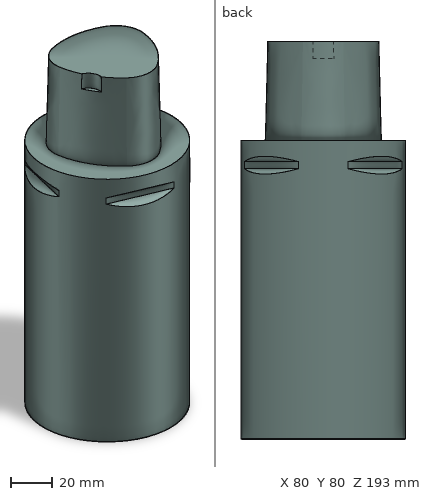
import cadquery as cq
import math

BODY_DIAMETER = 80.0
BODY_LENGTH = 145.0
BOTTOM_CHAMFER = 0.5

SHANK_LENGTH = 48.0
SHANK_LOBE_REACH = 29.9
SHANK_FLANK_REACH = 25.6
SHANK_LOBE_RADIUS = 17.0
SHANK_TAPER_RATIO = 20.0
SHANK_TAPER_ANGLE = math.degrees(math.atan(1 / (2 * SHANK_TAPER_RATIO)))
LOBE_COUNT = 3
FIRST_LOBE_ANGLE = 90.0

KEYWAY_RADIUS = 7.0
KEYWAY_DEPTH = 8.2
KEYWAY_FLOOR_REACH = 22.1

GROOVE_COUNT = 4
GROOVE_FIRST_ANGLE = 45.0
GROOVE_BELOW_SHOULDER = 12.0
GROOVE_FLOOR_REACH = 35.5
GROOVE_FLOOR_WIDTH = 3.4
GROOVE_FLANK_ANGLE = 30.0

CUT_OVERLAP = 2.0

BODY_RADIUS = BODY_DIAMETER / 2
TOTAL_LENGTH = BODY_LENGTH + SHANK_LENGTH


def polar(radius, degrees):
    angle = math.radians(degrees)
    return radius * math.cos(angle), radius * math.sin(angle)


def lobe_half_angle():
    """Half the sweep of a lobe arc that runs tangent into the flank arcs."""
    half_pitch = math.radians(180 / LOBE_COUNT)
    lobe_offset = SHANK_LOBE_REACH - SHANK_LOBE_RADIUS
    along = lobe_offset * math.cos(half_pitch)
    across = lobe_offset * math.sin(half_pitch)
    gain = SHANK_FLANK_REACH - SHANK_LOBE_RADIUS - along
    rise = (across ** 2 - gain ** 2) / (2 * gain)
    return math.degrees(half_pitch - math.atan2(across, rise))


def make_body():
    body = cq.Workplane("XY").circle(BODY_RADIUS).extrude(BODY_LENGTH)
    return body.faces("<Z").chamfer(BOTTOM_CHAMFER)


def make_shank():
    half_angle = lobe_half_angle()
    pitch = 360 / LOBE_COUNT

    def seam(lobe_angle, side):
        centre_x, centre_y = polar(SHANK_LOBE_REACH - SHANK_LOBE_RADIUS, lobe_angle)
        dx, dy = polar(SHANK_LOBE_RADIUS, lobe_angle + side * half_angle)
        return centre_x + dx, centre_y + dy

    profile = cq.Workplane("XY", origin=(0, 0, BODY_LENGTH))
    profile = profile.moveTo(*seam(FIRST_LOBE_ANGLE, -1))
    for index in range(LOBE_COUNT):
        lobe_angle = FIRST_LOBE_ANGLE + index * pitch
        crown = polar(SHANK_LOBE_REACH, lobe_angle)
        flank_middle = polar(SHANK_FLANK_REACH, lobe_angle + pitch / 2)
        profile = profile.threePointArc(crown, seam(lobe_angle, 1))
        profile = profile.threePointArc(flank_middle, seam(lobe_angle + pitch, -1))
    return profile.close().extrude(SHANK_LENGTH, taper=SHANK_TAPER_ANGLE)


def make_keyway_cutter():
    return (
        cq.Workplane("XY", origin=(0, 0, TOTAL_LENGTH - KEYWAY_DEPTH))
        .center(0, -KEYWAY_FLOOR_REACH - KEYWAY_RADIUS)
        .circle(KEYWAY_RADIUS)
        .extrude(KEYWAY_DEPTH + CUT_OVERLAP)
    )


def make_groove_cutter(angle):
    outer_reach = BODY_RADIUS + CUT_OVERLAP
    flare = (outer_reach - GROOVE_FLOOR_REACH) * math.tan(math.radians(GROOVE_FLANK_ANGLE))
    floor_half = GROOVE_FLOOR_WIDTH / 2
    mouth_half = floor_half + flare
    return (
        cq.Workplane("XZ", origin=(0, 0, BODY_LENGTH - GROOVE_BELOW_SHOULDER))
        .polyline([
            (GROOVE_FLOOR_REACH, -floor_half),
            (outer_reach, -mouth_half),
            (outer_reach, mouth_half),
            (GROOVE_FLOOR_REACH, floor_half),
        ])
        .close()
        .extrude(BODY_RADIUS, both=True)
        .rotate((0, 0, 0), (0, 0, 1), angle)
    )


result = make_body().union(make_shank()).cut(make_keyway_cutter())
for groove_index in range(GROOVE_COUNT):
    groove_angle = GROOVE_FIRST_ANGLE + groove_index * 360 / GROOVE_COUNT
    result = result.cut(make_groove_cutter(groove_angle))